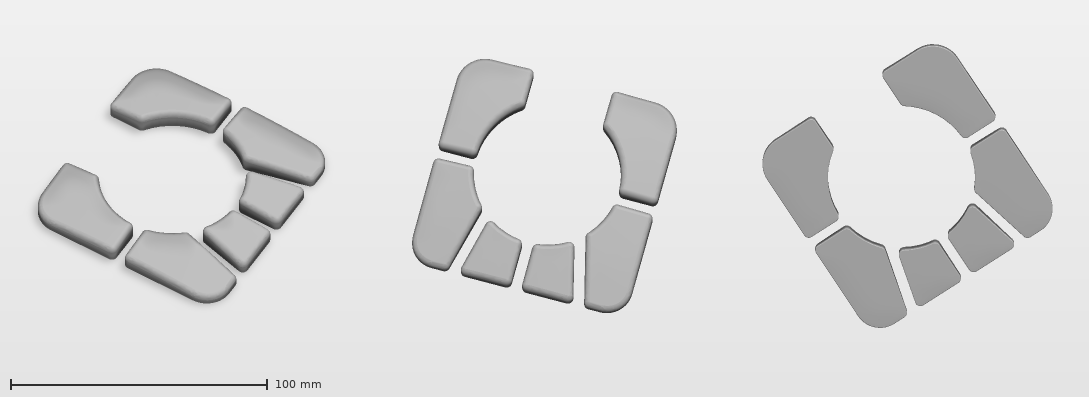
import cadquery as cq
import math

LENGTH_X = 86.4
LENGTH_Y = 88.4
HALF_X = LENGTH_X / 2
HALF_Y = LENGTH_Y / 2

OPENING_X = -4.0
OPENING_RADIUS = 28.6

DOME_RADIUS = 375.7
DOME_RIM_HEIGHT = 7.9
DOME_CENTRE_Z = DOME_RIM_HEIGHT - math.sqrt(DOME_RADIUS**2 - OPENING_RADIUS**2)

GAP = 4.2
CROSS_GAP_X = -1.2
SLANT_ANGLE = 14.0
SLANT_X = 22.45
SLANT_Y = 20.2
LEFT_PAD_EDGE_Y = 15.7

LEFT_CORNER_RADIUS = 11.2
RIGHT_CORNER_RADIUS = 10.25
EDGE_RADIUS = 2.1
BOTTOM_CHAMFER = 0.3

BLANK_HEIGHT = 2 * DOME_RIM_HEIGHT
SMALL_BLANK_X = OPENING_X + OPENING_RADIUS / 2


def slant_y(x, side):
    """Y at x on the upper (side = 1) or lower (side = -1) edge of the slanted gap."""
    angle = math.radians(SLANT_ANGLE)
    middle = SLANT_Y + (x - SLANT_X) * math.tan(angle)
    return middle + side * GAP / 2 / math.cos(angle)


def make_blank(outline):
    """Straight-sided pad with the round opening cut out of its outline."""
    opening = cq.Workplane("XY").center(OPENING_X, 0).circle(OPENING_RADIUS).extrude(BLANK_HEIGHT)
    return cq.Workplane("XY").polyline(outline).close().extrude(BLANK_HEIGHT).cut(opening)


def planar_distance(edge, point):
    """Distance in X and Y from the middle of an edge to a point."""
    return math.hypot(edge.Center().x - point[0], edge.Center().y - point[1])


def finish_pad(blank, outer_corner=None, corner_radius=0):
    """Round the outer corner if there is one, cut the top to the dome and soften the other edges."""
    if outer_corner:
        blank = blank.edges("|Z").edges(cq.selectors.NearestToPointSelector(outer_corner)).fillet(corner_radius)
    dome = cq.Workplane("XY").sphere(DOME_RADIUS).translate((OPENING_X, 0, DOME_CENTRE_Z))
    pad = blank.intersect(dome)

    uprights = pad.edges("|Z")
    if outer_corner:
        uprights = uprights.filter(lambda edge: planar_distance(edge, outer_corner) > corner_radius + EDGE_RADIUS)

    pad = uprights.add(pad.faces(">Z").edges()).fillet(EDGE_RADIUS)
    return pad.faces("<Z").edges().chamfer(BOTTOM_CHAMFER)


def make_left_pad():
    """Left pad on the +Y side."""
    inner_x = CROSS_GAP_X - GAP / 2
    outline = [(-HALF_X, LEFT_PAD_EDGE_Y), (inner_x, LEFT_PAD_EDGE_Y), (inner_x, HALF_Y), (-HALF_X, HALF_Y)]
    return finish_pad(make_blank(outline), (-HALF_X, HALF_Y, 0), LEFT_CORNER_RADIUS)


def make_right_pad():
    """Right pad on the +Y side, with its lower side along the slanted gap."""
    inner_x = CROSS_GAP_X + GAP / 2
    outline = [
        (inner_x, slant_y(inner_x, 1)),
        (HALF_X, slant_y(HALF_X, 1)),
        (HALF_X, HALF_Y),
        (inner_x, HALF_Y),
    ]
    return finish_pad(make_blank(outline), (HALF_X, HALF_Y, 0), RIGHT_CORNER_RADIUS)


def make_small_pad():
    """Small pad on the +Y side, between the slanted gap and the gap across the X axis."""
    outline = [
        (SMALL_BLANK_X, GAP / 2),
        (HALF_X, GAP / 2),
        (HALF_X, slant_y(HALF_X, -1)),
        (SMALL_BLANK_X, slant_y(SMALL_BLANK_X, -1)),
    ]
    return finish_pad(make_blank(outline))


pads = []
for make_pad in (make_left_pad, make_right_pad, make_small_pad):
    pad = make_pad()
    twin = pad.mirror("XZ")
    pads.extend([pad.val(), twin.val()])

result = cq.Compound.makeCompound(pads)